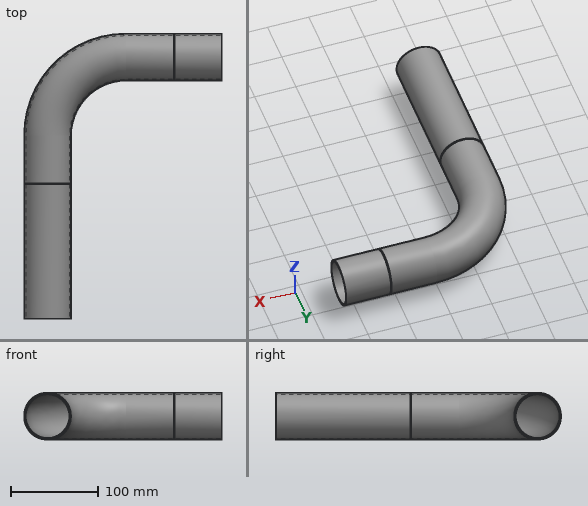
import cadquery as cq

outer_diameter = 54.0
inner_diameter = 50.0
length_x = 227.0
length_y = 327.0
bend_radius = 90.0
elbow_tangent = 55.0
groove_width = 1.0
groove_depth = 0.3

outer_radius = outer_diameter / 2
bend_extent = bend_radius + outer_radius
leg_x = length_x - bend_extent
leg_y = length_y - bend_extent
groove_floor_diameter = outer_diameter - 2 * groove_depth
cutter_diameter = outer_diameter + 2 * groove_depth


def swept_rod(diameter):
    """Solid round bar along the full centreline of the pipe."""
    bend_offset = bend_radius * (1 - 0.5 ** 0.5)
    path = (
        cq.Workplane("XY")
        .moveTo(0, -leg_y)
        .lineTo(0, 0)
        .threePointArc((bend_offset, bend_radius - bend_offset), (bend_radius, bend_radius))
        .lineTo(bend_radius + leg_x, bend_radius)
    )
    return cq.Workplane("XZ", origin=(0, -leg_y, 0)).circle(diameter / 2).sweep(path)


def joint_groove(center, axis):
    """Ring that cuts a shallow groove around the pipe, starting at center along axis."""
    plane = cq.Plane(origin=center, normal=axis)
    return (
        cq.Workplane(plane)
        .circle(cutter_diameter / 2)
        .circle(groove_floor_diameter / 2)
        .extrude(groove_width)
    )


pipe = swept_rod(outer_diameter).cut(swept_rod(inner_diameter))

groove_y = joint_groove((0, -elbow_tangent, 0), (0, -1, 0))
groove_x = joint_groove((bend_radius + elbow_tangent, bend_radius, 0), (1, 0, 0))

result = pipe.cut(groove_y).cut(groove_x)